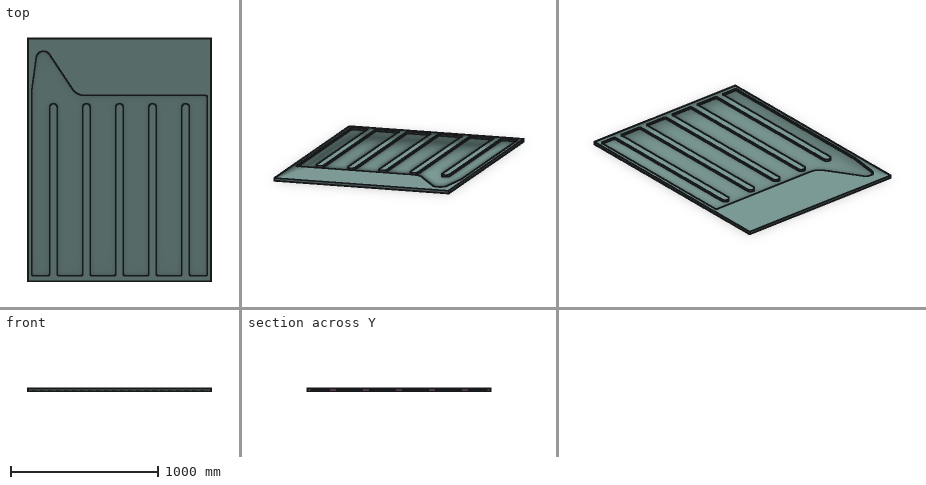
import cadquery as cq

plate_width = 1245.0
plate_length = 1651.0
plate_thickness = 20.0

pocket_depth = 13.0
side_margin = 26.0
front_margin = 38.0
pocket_back = 1263.0
corner_radius = 10.0

lobe_start = 1301.0
lobe_apex = (75.0, 1651.0)
lobe_foot = 332.0
lobe_tip_radius = 50.0
lobe_foot_radius = 99.0

rib_count = 5
rib_pitch = 225.0
rib_width = 53.0
rib_back = 1207.0

pocket_right = plate_width - side_margin
floor_height = plate_thickness - pocket_depth


def round_corner(body, corner, radius):
    """Round the vertical edge that stands at a corner of the outline."""
    x, y = corner
    edge_middle = (x, y, plate_thickness - pocket_depth / 2)
    return body.edges(cq.selectors.NearestToPointSelector(edge_middle)).fillet(radius)


def make_pocket_outline():
    """Pocket volume including the lobe, without the ribs."""
    foot = (lobe_foot, pocket_back)
    back_right = (pocket_right, pocket_back)
    body = (
        cq.Workplane("XY")
        .workplane(offset=floor_height)
        .moveTo(side_margin, front_margin)
        .lineTo(side_margin, lobe_start)
        .lineTo(*lobe_apex)
        .lineTo(*foot)
        .lineTo(*back_right)
        .lineTo(pocket_right, front_margin)
        .close()
        .extrude(pocket_depth)
    )
    body = round_corner(body, lobe_apex, lobe_tip_radius)
    body = round_corner(body, foot, lobe_foot_radius)
    return round_corner(body, back_right, corner_radius)


def make_rib(center_x):
    """Rib with a round back end, running from the front margin."""
    straight_end = rib_back - rib_width / 2
    left = center_x - rib_width / 2
    right = center_x + rib_width / 2
    return (
        cq.Workplane("XY")
        .workplane(offset=floor_height)
        .moveTo(left, front_margin)
        .lineTo(left, straight_end)
        .threePointArc((center_x, rib_back), (right, straight_end))
        .lineTo(right, front_margin)
        .close()
        .extrude(pocket_depth)
    )


pocket = make_pocket_outline()
for index in range(rib_count):
    offset_from_middle = (index - (rib_count - 1) / 2) * rib_pitch
    pocket = pocket.cut(make_rib(plate_width / 2 + offset_from_middle))

front_corners = cq.selectors.BoxSelector(
    (0, 0, 0), (plate_width, front_margin + corner_radius, plate_thickness)
)
pocket = pocket.edges("|Z").edges(front_corners).fillet(corner_radius)

plate = cq.Workplane("XY").box(plate_width, plate_length, plate_thickness, centered=False)
result = plate.cut(pocket)